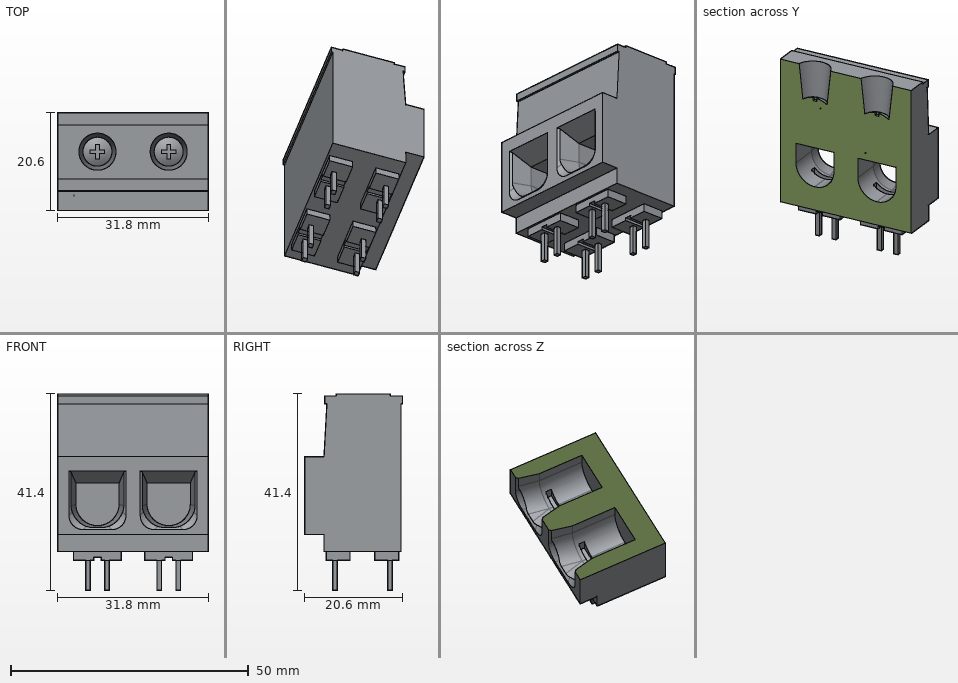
import cadquery as cq


length = 31.75
depth = 20.62
back_wall_y = 20.3
lower_front_y = 4.06
ledge_z = 3.6
shelf_z = 20.0
slope_top_y = 4.67
rail_front_y = 4.2
rail_bottom_z = 31.15
rail_top_z = 32.8
ridge_front_y = 6.62
ridge_back_y = 18.06
top_z = 33.25

pole_pitch = 15.0
pole_count = 2
pole_centres = [(i - (pole_count - 1) / 2) * pole_pitch for i in range(pole_count)]

entry_top_z = 17.0
rim_half_width = 6.0
rim_bottom_z = 4.65
rim_corner_radius = 3.0
rim_depth = 1.3
funnel_half_width = 5.65
funnel_bottom_z = 5.07
funnel_depth = 4.9
throat_half_width = 4.55
throat_bottom_z = 5.5
throat_top_z = 14.45
throat_corner_radius = 4.52
throat_end_y = 15.0
entry_top_slope = (entry_top_z - throat_top_z) / funnel_depth

slot_width = 6.6
slot_start_y = 5.8
slot_length = 1.3
slot_drop = 1.0

screw_y = 12.4
shaft_top_diameter = 7.8
screw_diameter = 6.1
shaft_depth = 8.0
dome_height = 1.0
cross_span = 3.05
cross_arm_width = 0.8
cross_depth = 0.8

foot_width = 10.1
foot_length = 5.1
foot_height = 1.8
foot_centres_y = (7.06, 17.3)
notch_width = 1.5
notch_height = 0.6
pin_size = 1.0
pin_spacing = 4.0
pin_centres_y = (6.4, 17.98)
overall_height = 41.4
pin_bottom_z = top_z - overall_height


def box(width, y_size, height, x, y, z):
    """Box centred on x and y, standing on z."""
    return cq.Workplane("XY").box(width, y_size, height, centered=(True, True, False)).translate((x, y, z))


def make_housing():
    side_outline = [
        (lower_front_y, 0),
        (back_wall_y, 0),
        (back_wall_y, rail_bottom_z),
        (depth, rail_bottom_z),
        (depth, rail_top_z),
        (ridge_back_y, rail_top_z),
        (ridge_back_y, top_z),
        (ridge_front_y, top_z),
        (ridge_front_y, rail_top_z),
        (rail_front_y, rail_top_z),
        (rail_front_y, rail_bottom_z),
        (slope_top_y, rail_bottom_z),
        (lower_front_y, shelf_z),
        (0, shelf_z),
        (0, ledge_z),
        (lower_front_y, ledge_z),
    ]
    return cq.Workplane("YZ").polyline(side_outline).close().extrude(length / 2, both=True)


def entry_wire(y, half_width, bottom_z, roof_z, radius):
    """Rectangle across Y with its two bottom corners rounded."""
    outline = (
        cq.Workplane("XZ", origin=(0, y, 0))
        .moveTo(-half_width, roof_z)
        .lineTo(-half_width, bottom_z + radius)
        .radiusArc((-half_width + radius, bottom_z), -radius)
        .lineTo(half_width - radius, bottom_z)
        .radiusArc((half_width, bottom_z + radius), -radius)
        .lineTo(half_width, roof_z)
        .close()
    )
    return outline.val()


def loft(*wires):
    return cq.Workplane(cq.Solid.makeLoft(list(wires), True))


def make_wire_entry():
    rim = loft(
        entry_wire(0, rim_half_width, rim_bottom_z, entry_top_z, rim_corner_radius),
        entry_wire(
            rim_depth,
            rim_half_width - rim_depth,
            rim_bottom_z + rim_depth,
            entry_top_z - rim_depth * entry_top_slope,
            rim_corner_radius,
        ),
    )
    throat_section = (throat_half_width, throat_bottom_z, throat_top_z, throat_corner_radius)
    throat_mouth = entry_wire(funnel_depth, *throat_section)
    throat_end = entry_wire(throat_end_y, *throat_section)
    funnel = loft(
        entry_wire(0, funnel_half_width, funnel_bottom_z, entry_top_z, throat_corner_radius),
        throat_mouth,
    )
    throat = loft(throat_mouth, throat_end)
    slot_bottom_z = throat_bottom_z - slot_drop
    slot_height = throat_corner_radius + slot_drop
    slot = box(slot_width, slot_length, slot_height, 0, slot_start_y + slot_length / 2, slot_bottom_z)
    return rim.union(funnel).union(throat).union(slot)


def make_screw_shaft():
    """Tapered access hole whose floor is the domed, cross-slotted screw head."""
    floor_z = top_z - shaft_depth
    screw_radius = screw_diameter / 2
    dome_radius = (screw_radius**2 + dome_height**2) / (2 * dome_height)
    shaft = (
        cq.Workplane("XZ")
        .moveTo(0, floor_z + dome_height)
        .radiusArc((screw_radius, floor_z), dome_radius)
        .lineTo(shaft_top_diameter / 2, top_z)
        .lineTo(0, top_z)
        .close()
        .revolve(360, (0, 0, 0), (0, 1, 0))
    )
    cross_bottom_z = floor_z + dome_height - cross_depth
    for width, y_size in ((cross_span, cross_arm_width), (cross_arm_width, cross_span)):
        shaft = shaft.union(box(width, y_size, cross_depth, 0, 0, cross_bottom_z))
    return shaft.translate((0, screw_y, 0))


def make_foot(y):
    foot = box(foot_width, foot_length, foot_height, 0, y, -foot_height)
    notch = box(notch_width, foot_length, notch_height, 0, y, -foot_height)
    return foot.cut(notch)


def make_pin(x, y):
    return box(pin_size, pin_size, -foot_height - pin_bottom_z, x, y, pin_bottom_z)


result = make_housing()
for pole_x in pole_centres:
    result = result.cut(make_wire_entry().translate((pole_x, 0, 0)))
    result = result.cut(make_screw_shaft().translate((pole_x, 0, 0)))
    for foot_y, pin_y in zip(foot_centres_y, pin_centres_y):
        result = result.union(make_foot(foot_y).translate((pole_x, 0, 0)))
        for side in (-1, 1):
            result = result.union(make_pin(pole_x + side * pin_spacing / 2, pin_y))